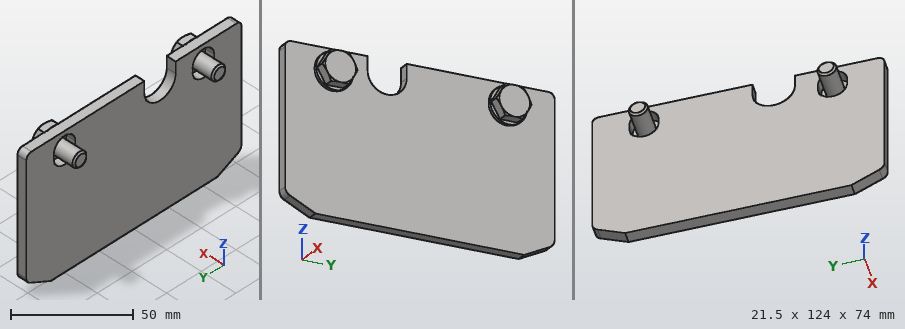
import cadquery as cq
import math

plate_length = 124.0
plate_height = 74.0
plate_thickness = 5.2
top_corner_radius = 3.0
bottom_cut_length = 14.0
bottom_cut_height = 6.8
bottom_corner_radius = 4.0

notch_width = 18.0
notch_depth = 15.3
notch_y = -15.0

bolt_spacing = 80.0
bolt_drop = 10.0
slot_width = 12.4
slot_height = 15.0

washer_diameter = 17.0
washer_hole_diameter = 8.4
washer_thickness = 1.6

shank_diameter = 8.0
tip_chamfer = 0.9
head_across_flats = 14.0
head_height = 5.2
head_edge_bevel_angle = 30
bolt_length = 21.5

shank_length = bolt_length - head_height
head_seat_x = plate_thickness + washer_thickness
bolt_tip_x = head_seat_x - shank_length
head_corner_diameter = head_across_flats / math.cos(math.pi / 6)
bolt_positions = [(side * bolt_spacing / 2, -bolt_drop) for side in (-1, 1)]


def make_plate():
    """Flat plate with rounded corners, cut lower corners, a notch and slots."""
    half_length = plate_length / 2
    cut_top = bottom_cut_height - plate_height
    bottom_half_length = half_length - bottom_cut_length
    plate = (
        cq.Workplane("YZ")
        .moveTo(-half_length, 0)
        .lineTo(half_length, 0)
        .lineTo(half_length, cut_top)
        .lineTo(bottom_half_length, -plate_height)
        .lineTo(-bottom_half_length, -plate_height)
        .lineTo(-half_length, cut_top)
        .close()
        .extrude(plate_thickness)
    )
    for side in ("<Y", ">Y"):
        side_face = plate.faces(side)
        plate = side_face.edges(">Z").fillet(top_corner_radius)
        plate = plate.faces(side).edges("<Z").fillet(bottom_corner_radius)

    notch_radius = notch_width / 2
    arc_start_z = notch_radius - notch_depth
    notch = (
        cq.Workplane("YZ")
        .moveTo(notch_y - notch_radius, 0)
        .lineTo(notch_y - notch_radius, arc_start_z)
        .threePointArc((notch_y, -notch_depth), (notch_y + notch_radius, arc_start_z))
        .lineTo(notch_y + notch_radius, 0)
        .close()
        .extrude(plate_thickness)
    )
    slots = (
        cq.Workplane("YZ")
        .pushPoints(bolt_positions)
        .slot2D(slot_height, slot_width, 90)
        .extrude(plate_thickness)
    )
    return plate.cut(notch).cut(slots)


def make_washer(y, z):
    """Flat ring resting on the front face of the plate."""
    return (
        cq.Workplane("YZ", origin=(plate_thickness, y, z))
        .circle(washer_diameter / 2)
        .circle(washer_hole_diameter / 2)
        .extrude(washer_thickness)
    )


def make_bolt(y, z):
    """Hexagon bolt pointing toward -X, with a chamfered tip and beveled head."""
    shank = (
        cq.Workplane("YZ", origin=(bolt_tip_x, y, z))
        .circle(shank_diameter / 2)
        .extrude(shank_length)
        .faces("<X")
        .chamfer(tip_chamfer)
    )
    head = (
        cq.Workplane("YZ", origin=(head_seat_x, y, z))
        .polygon(6, head_corner_diameter)
        .extrude(head_height)
    )
    flat_radius = head_across_flats / 2
    corner_radius = head_corner_diameter / 2
    bevel_depth = (corner_radius - flat_radius) * math.tan(math.radians(head_edge_bevel_angle))
    bevel_envelope = (
        cq.Workplane("XY")
        .moveTo(0, 0)
        .lineTo(0, corner_radius)
        .lineTo(head_height - bevel_depth, corner_radius)
        .lineTo(head_height, flat_radius)
        .lineTo(head_height, 0)
        .close()
        .revolve(360, (0, 0, 0), (1, 0, 0))
        .translate((head_seat_x, y, z))
    )
    return shank.union(head.intersect(bevel_envelope))


plate = make_plate()
washers = [make_washer(y, z) for y, z in bolt_positions]
bolts = [make_bolt(y, z) for y, z in bolt_positions]

result = cq.Compound.makeCompound([
    plate.val(),
    *[washer.val() for washer in washers],
    *[bolt.val() for bolt in bolts],
])